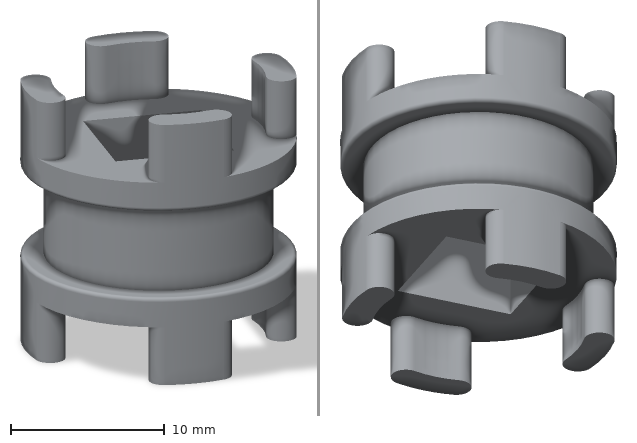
import cadquery as cq
import math

overall_height = 18.0
outer_radius = 9.0
hub_diameter = 15.0
bore_side = 8.0
flange_thickness = 2.0
flange_edge_radius = 0.25
lug_height = 4.0
lug_width = 2.0
lug_chord = 4.0
lug_count = 4
cutting_margin = 0.9

lug_inner_radius = outer_radius - lug_width
lug_middle_radius = outer_radius - lug_width / 2
lug_half_angle = math.asin(lug_chord / 2 / outer_radius)
flange_outer_face = overall_height / 2 - lug_height
body_height = 2 * flange_outer_face
flange_inner_face = flange_outer_face - flange_thickness


def polar(radius, angle):
    return (radius * math.cos(angle), radius * math.sin(angle))


def make_hub():
    return cq.Workplane("XY").circle(hub_diameter / 2).extrude(flange_inner_face, both=True)


def make_lug_shape():
    """Curved slot shape for one lug, run on outward past the outer wall.

    The inner arc and the round ends are tangent; the outer wall closes the lug.
    """
    cap_angle = lug_half_angle + math.pi / 2
    end_x, end_y = polar(lug_middle_radius, lug_half_angle)
    cap_x, cap_y = polar(lug_width / 2, cap_angle)
    cap_tip = (end_x + cap_x, end_y + cap_y)
    opposite_cap_tip = (cap_tip[0], -cap_tip[1])
    reach = outer_radius + 2 * cutting_margin
    return (
        cq.Workplane("XY")
        .workplane(offset=flange_outer_face)
        .moveTo(*polar(reach, -lug_half_angle))
        .lineTo(*polar(reach, lug_half_angle))
        .lineTo(*polar(outer_radius, lug_half_angle))
        .threePointArc(cap_tip, polar(lug_inner_radius, lug_half_angle))
        .threePointArc((lug_inner_radius, 0), polar(lug_inner_radius, -lug_half_angle))
        .threePointArc(opposite_cap_tip, polar(outer_radius, -lug_half_angle))
        .close()
        .extrude(lug_height)
    )


def make_upper_end():
    """Flange and lugs cut from one cylinder, so they share the same outer wall."""
    blank = (
        cq.Workplane("XY")
        .workplane(offset=flange_inner_face)
        .circle(outer_radius)
        .extrude(flange_thickness + lug_height)
        .faces("<Z")
        .edges()
        .fillet(flange_edge_radius)
    )
    waste = (
        cq.Workplane("XY")
        .workplane(offset=flange_outer_face)
        .circle(outer_radius + cutting_margin)
        .extrude(lug_height)
    )
    lug_shape = make_lug_shape()
    for index in range(lug_count):
        angle = index * 360 / lug_count
        waste = waste.cut(lug_shape.rotate((0, 0, 0), (0, 0, 1), angle))
    return blank.cut(waste)


upper_end = make_upper_end()

spool = make_hub().union(upper_end).union(upper_end.mirror("XY"))

bore = cq.Workplane("XY").box(bore_side, bore_side, body_height)
result = spool.cut(bore)